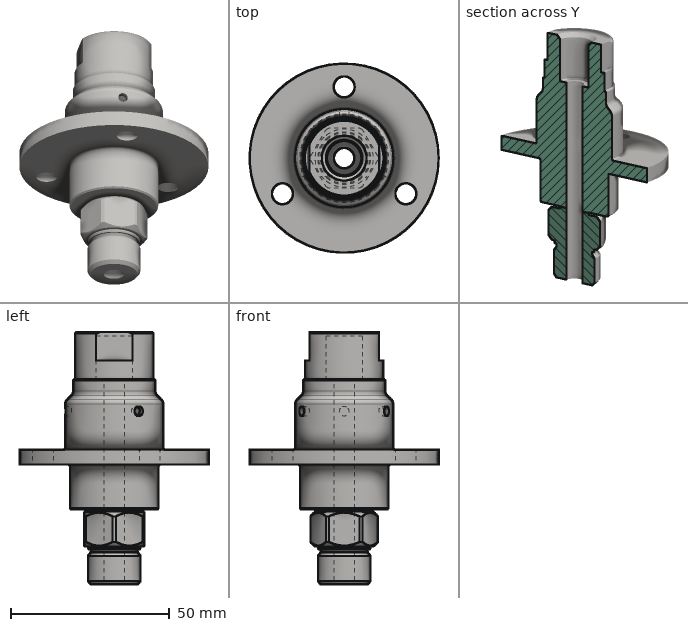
import cadquery as cq
import math


through_bore_diameter = 6.4
seat_z = 23.4

flange_diameter = 59.7
flange_bottom_z = 37.8
flange_thickness = 4.8
flange_top_z = flange_bottom_z + flange_thickness
root_fillet = 0.5
mounting_hole_diameter = 6.5
mounting_circle_radius = 22.5

housing_bottom_z = 23.6
lower_radius = 28.0 / 2
stub_radius = 11.95 / 2
middle_radius = 31.0 / 2
collar_radius = 26.0 / 2
head_radius = 24.8 / 2
housing_top_z = 79.7
top_chamfer = 0.6
edge_chamfer = 0.5
collar_top_z = 64.8
shoulder_top_z = 61.05
shoulder_fillet = 2.0
shoulder_slope = 45

flats_width = 22.0
flats_height = 9.0
port_diameter = 11.5
port_mouth_diameter = 14.1
port_mouth_depth = (port_mouth_diameter - port_diameter) / 2
port_depth = 15.0
port_floor_chamfer = 0.3
radial_hole_diameter = 3.0
radial_hole_depth = 2.0
radial_hole_z = 54.7
hole_angles = [90, 210, 330]

neck_radius = 11.9 / 2
hex_bottom_z = 11.95
hex_top_z = 22.95
hex_sides = 6
hex_across_flats = 19.0
hex_turn = 30
hex_corner_radius = 21.3 / 2
hex_face_radius = 18.3 / 2
hex_chamfer_height = 1.4
seal_radius = 16.5 / 2
seal_bottom_z = 11.0
seal_top_chamfer = 0.2
seal_bottom_bevel_width = 0.2
seal_bottom_bevel_height = 0.5
groove_radius = 14.8 / 2
groove_bottom_z = 10.3
thread_collar_height = 0.2
thread_collar_radius = 15.0 / 2
thread_radius = 16.65 / 2
thread_top_z = 9.0
tip_radius = 14.8 / 2
tip_chamfer_height = 1.1


def cylinder(radius, bottom_z, height):
    """A vertical cylinder on the main axis."""
    return cq.Workplane("XY").workplane(offset=bottom_z).circle(radius).extrude(height)


def housing_blank():
    """The turned outside of the housing, without holes."""
    bend = math.radians(shoulder_slope)
    fillet_width = shoulder_fillet * (1 - math.cos(bend))
    fillet_height = shoulder_fillet * math.sin(bend)
    half_bend_width = shoulder_fillet * (1 - math.cos(bend / 2))
    half_bend_height = shoulder_fillet * math.sin(bend / 2)
    cone_top_r = collar_radius + fillet_width
    cone_top_z = shoulder_top_z - fillet_height
    cone_bottom_r = middle_radius - fillet_width
    cone_bottom_z = cone_top_z - (cone_bottom_r - cone_top_r) * math.tan(bend)
    shoulder_bottom_z = cone_bottom_z - fillet_height
    root_middle = root_fillet * (1 - math.sqrt(0.5))

    return (
        cq.Workplane("XZ")
        .moveTo(0, seat_z)
        .lineTo(stub_radius, seat_z)
        .lineTo(stub_radius, housing_bottom_z)
        .lineTo(lower_radius - edge_chamfer, housing_bottom_z)
        .lineTo(lower_radius, housing_bottom_z + edge_chamfer)
        .lineTo(lower_radius, flange_bottom_z - root_fillet)
        .threePointArc(
            (lower_radius + root_middle, flange_bottom_z - root_middle),
            (lower_radius + root_fillet, flange_bottom_z),
        )
        .lineTo(flange_diameter / 2, flange_bottom_z)
        .lineTo(flange_diameter / 2, flange_top_z)
        .lineTo(middle_radius + root_fillet, flange_top_z)
        .threePointArc(
            (middle_radius + root_middle, flange_top_z + root_middle),
            (middle_radius, flange_top_z + root_fillet),
        )
        .lineTo(middle_radius, shoulder_bottom_z)
        .threePointArc(
            (middle_radius - half_bend_width, shoulder_bottom_z + half_bend_height),
            (cone_bottom_r, cone_bottom_z),
        )
        .lineTo(cone_top_r, cone_top_z)
        .threePointArc(
            (collar_radius + half_bend_width, shoulder_top_z - half_bend_height),
            (collar_radius, shoulder_top_z),
        )
        .lineTo(collar_radius, collar_top_z - edge_chamfer)
        .lineTo(collar_radius - edge_chamfer, collar_top_z)
        .lineTo(head_radius, collar_top_z)
        .lineTo(head_radius, housing_top_z - top_chamfer)
        .lineTo(head_radius - top_chamfer, housing_top_z)
        .lineTo(0, housing_top_z)
        .close()
        .revolve(axisStart=(0, 0, 0), axisEnd=(0, 1, 0))
    )


def wrench_flats():
    """Material beyond the two flats on the head."""
    flats_z = housing_top_z - flats_height / 2
    head_diameter = 2 * head_radius
    block = cq.Workplane("XY").box(head_diameter, head_diameter, flats_height)
    kept = cq.Workplane("XY").box(flats_width, head_diameter, flats_height)
    return block.cut(kept).translate((0, 0, flats_z))


def port():
    """Countersunk port in the top face, chamfered around its floor, and the bore below it."""
    floor_z = housing_top_z - port_depth
    port_radius = port_diameter / 2
    return (
        cq.Workplane("XZ")
        .moveTo(0, seat_z)
        .lineTo(through_bore_diameter / 2, seat_z)
        .lineTo(through_bore_diameter / 2, floor_z)
        .lineTo(port_radius - port_floor_chamfer, floor_z)
        .lineTo(port_radius, floor_z + port_floor_chamfer)
        .lineTo(port_radius, housing_top_z - port_mouth_depth)
        .lineTo(port_mouth_diameter / 2, housing_top_z)
        .lineTo(0, housing_top_z)
        .close()
        .revolve(axisStart=(0, 0, 0), axisEnd=(0, 1, 0))
    )


def mounting_hole(angle):
    """One hole through the flange."""
    hole = cylinder(mounting_hole_diameter / 2, flange_bottom_z, flange_thickness)
    return hole.translate((mounting_circle_radius, 0, 0)).rotate((0, 0, 0), (0, 0, 1), angle)


def radial_hole(angle):
    """One blind hole in the side of the middle cylinder."""
    hole = (
        cq.Workplane("YZ")
        .workplane(offset=middle_radius - radial_hole_depth)
        .center(0, radial_hole_z)
        .circle(radial_hole_diameter / 2)
        .extrude(2 * radial_hole_depth)
    )
    return hole.rotate((0, 0, 0), (0, 0, 1), angle)


def make_housing():
    """The flanged housing with its port and holes."""
    body = housing_blank().cut(wrench_flats()).cut(port())
    for angle in hole_angles:
        body = body.cut(mounting_hole(angle)).cut(radial_hole(angle))
    return body


def hexagon():
    """The wrench hexagon, with corners rounded and both ends chamfered by a turned outline."""
    height = hex_top_z - hex_bottom_z
    prism = (
        cq.Workplane("XY")
        .workplane(offset=hex_bottom_z)
        .polygon(hex_sides, hex_across_flats, circumscribed=True)
        .extrude(height)
        .rotate((0, 0, 0), (0, 0, 1), hex_turn)
    )
    turned = (
        cq.Workplane("XZ")
        .moveTo(0, hex_bottom_z)
        .lineTo(hex_face_radius, hex_bottom_z)
        .lineTo(hex_corner_radius, hex_bottom_z + hex_chamfer_height)
        .lineTo(hex_corner_radius, hex_top_z - hex_chamfer_height)
        .lineTo(hex_face_radius, hex_top_z)
        .lineTo(0, hex_top_z)
        .close()
        .revolve(axisStart=(0, 0, 0), axisEnd=(0, 1, 0))
    )
    return prism.intersect(turned)


def nipple_shaft():
    """Threaded end, groove and sealing collar below the hexagon."""
    return (
        cq.Workplane("XZ")
        .lineTo(tip_radius, 0)
        .lineTo(thread_radius, tip_chamfer_height)
        .lineTo(thread_radius, thread_top_z)
        .lineTo(thread_collar_radius, groove_bottom_z - thread_collar_height)
        .lineTo(thread_collar_radius, groove_bottom_z)
        .lineTo(groove_radius, groove_bottom_z)
        .lineTo(groove_radius, seal_bottom_z)
        .lineTo(seal_radius - seal_bottom_bevel_width, seal_bottom_z)
        .lineTo(seal_radius, seal_bottom_z + seal_bottom_bevel_height)
        .lineTo(seal_radius, hex_bottom_z - seal_top_chamfer)
        .lineTo(seal_radius - seal_top_chamfer, hex_bottom_z)
        .lineTo(0, hex_bottom_z)
        .close()
        .revolve(axisStart=(0, 0, 0), axisEnd=(0, 1, 0))
    )


def make_nipple():
    """The hexagonal threaded nipple that hangs below the housing."""
    neck = cylinder(neck_radius, hex_top_z, seat_z - hex_top_z)
    bore = cylinder(through_bore_diameter / 2, 0, seat_z)
    return nipple_shaft().union(hexagon()).union(neck).cut(bore)


housing = make_housing()
nipple = make_nipple()

result = cq.Compound.makeCompound([housing.val(), nipple.val()])